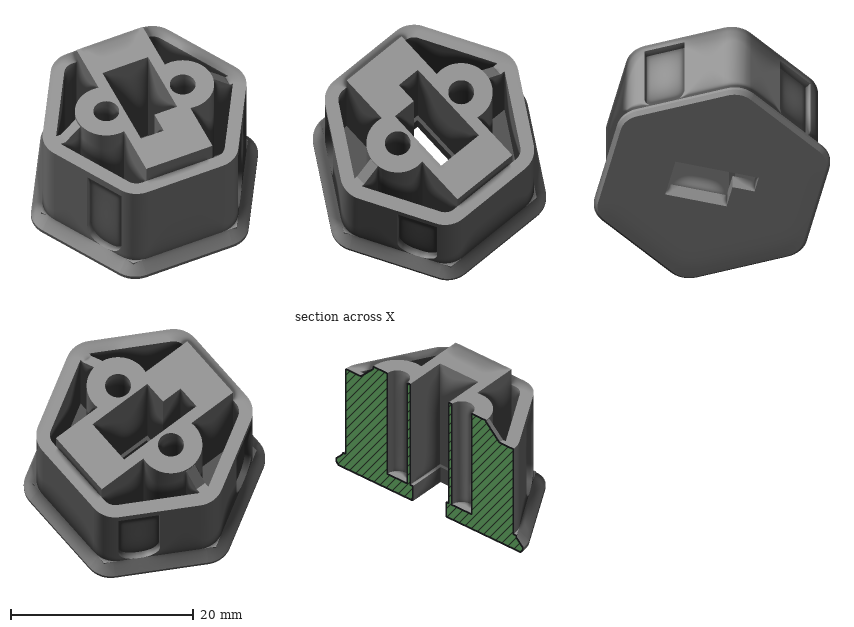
import cadquery as cq
import math

length_y = 26.78
corner_radius = 3.0
corner_ratio = 1 / math.cos(math.radians(30))
flange_apothem = (length_y / 2 - corner_radius) / corner_ratio + corner_radius
flange_height = 2.0
bottom_chamfer = 0.4
edge_land = 0.4
top_chamfer = flange_height - bottom_chamfer - edge_land

total_height = 15.5
rim_z = 13.42
wall = 1.5
body_apothem = flange_apothem - top_chamfer
cavity_apothem = body_apothem - wall

recess_depth = wall / 2
recess_width = 4.6
recess_top_z = 12.43
recess_corner_radius = 2.0

bar_width = 7.98
boss_radius = 3.45
boss_offset = 4.6
boss_centers = [(0, -boss_offset), (0, boss_offset)]
screw_hole_diameter = 2.85

rib_width = 1.2
rib_foot_back = 10.02
rib_foot_front = 9.8

socket_length = 10.23
socket_width = 5.5
socket_step_x = 2.62
socket_ledge = 0.4


def hexagon(apothem, z):
    """Sharp hexagon wire with two corners on the Y axis."""
    corner = apothem * corner_ratio
    points = []
    for index in range(6):
        angle = math.radians(30 + 60 * index)
        points.append((corner * math.cos(angle), corner * math.sin(angle)))
    return cq.Workplane("XY").workplane(offset=z).polyline(points).close()


def rounded_prism(apothem, radius, bottom_z, top_z):
    prism = hexagon(apothem, bottom_z).extrude(top_z - bottom_z)
    return prism.edges("|Z").fillet(radius)


def make_flange():
    flange = rounded_prism(flange_apothem, corner_radius, 0, flange_height)
    flange = flange.faces(">Z").chamfer(top_chamfer)
    flange = flange.faces("<Z").chamfer(bottom_chamfer)
    seat = hexagon(body_apothem, flange_height / 2).extrude(flange_height / 2)
    return flange.union(seat)


def recess_cutter():
    """Round-bottomed prism through the slanted +X +Y face, running from mid-face to its +X corner."""
    face_normal = cq.Vector(math.cos(math.radians(60)), math.sin(math.radians(60)), 0)
    toward_x_corner = cq.Vector(face_normal.y, -face_normal.x, 0)
    face_plane = cq.Plane(origin=face_normal * body_apothem, xDir=toward_x_corner, normal=-face_normal)
    diagonal = recess_corner_radius * (1 - math.sqrt(0.5))
    far_side = recess_width - recess_corner_radius
    arc_z = flange_height + recess_corner_radius
    return (
        cq.Workplane(face_plane)
        .moveTo(0, recess_top_z)
        .lineTo(0, arc_z)
        .threePointArc((diagonal, flange_height + diagonal), (recess_corner_radius, flange_height))
        .lineTo(far_side, flange_height)
        .threePointArc((recess_width - diagonal, flange_height + diagonal), (recess_width, arc_z))
        .lineTo(recess_width, recess_top_z)
        .close()
        .extrude(wall, both=True)
    )


def make_cup():
    cup = rounded_prism(body_apothem, corner_radius, flange_height, rim_z)
    recess_floor = rounded_prism(body_apothem - recess_depth, corner_radius, 0, rim_z)
    cutter = recess_cutter().cut(recess_floor)
    for pair in (cutter, cutter.mirror("XZ")):
        cup = cup.cut(pair).cut(pair.mirror("YZ"))
    cavity = rounded_prism(cavity_apothem, corner_radius - wall, flange_height, rim_z)
    return cup.cut(cavity)


def make_core():
    base = cq.Workplane("XY").workplane(offset=flange_height)
    height = total_height - flange_height
    bar = base.rect(2 * cavity_apothem, bar_width).extrude(height)
    bosses = base.pushPoints(boss_centers).circle(boss_radius).extrude(height)
    return bar.union(bosses)


def make_rib(foot_y):
    """Sloped rib on the +Y side, ending inside the cup wall."""
    outer_y = cavity_apothem * corner_ratio
    boss_y = boss_offset + boss_radius
    boss_z = rim_z + foot_y - boss_y
    profile = [
        (boss_offset, flange_height),
        (outer_y, flange_height),
        (outer_y, rim_z),
        (foot_y, rim_z),
        (boss_y, boss_z),
        (boss_offset, boss_z),
    ]
    return cq.Workplane("YZ").polyline(profile).close().extrude(rib_width / 2, both=True)


def socket_prism(inset, bottom_z):
    """L-shaped prism, shrunk by inset on every side, open to the top."""
    half_length = socket_length / 2 - inset
    half_width = socket_width / 2 - inset
    step_x = socket_step_x - inset
    outline = [
        (-half_length, -half_width),
        (half_length, -half_width),
        (half_length, -inset),
        (step_x, -inset),
        (step_x, half_width),
        (-half_length, half_width),
    ]
    plane = cq.Workplane("XY").workplane(offset=bottom_z)
    return plane.polyline(outline).close().extrude(total_height - bottom_z)


def make_screw_holes():
    plane = cq.Workplane("XY").workplane(offset=flange_height)
    return plane.pushPoints(boss_centers).circle(screw_hole_diameter / 2).extrude(total_height - flange_height)


result = make_flange().union(make_cup()).union(make_core())
result = result.union(make_rib(rib_foot_back)).union(make_rib(rib_foot_front).mirror("XZ"))
result = result.cut(make_screw_holes())
result = result.cut(socket_prism(0, flange_height)).cut(socket_prism(socket_ledge, 0))